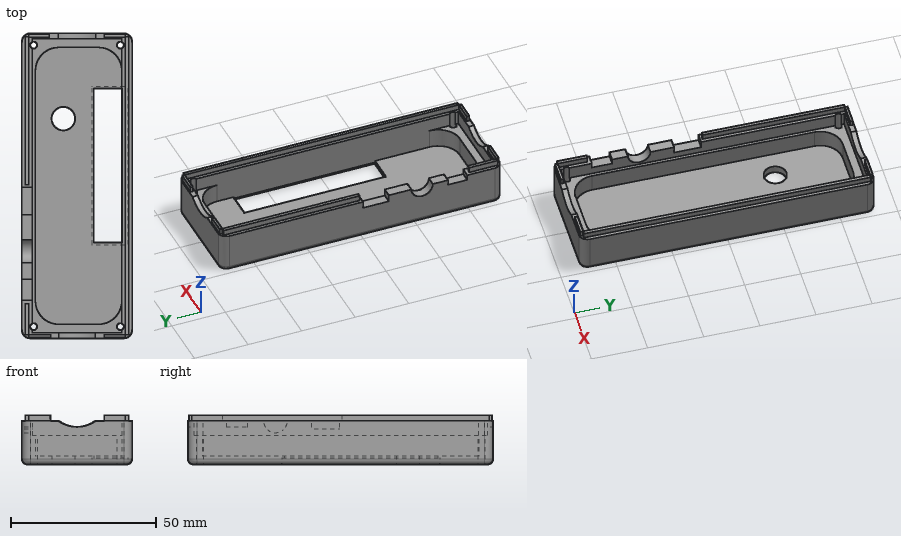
import cadquery as cq

WIDTH = 38.0
LENGTH = 105.0
RIM_Z = 15.0
LIP_HEIGHT = 2.0
CORNER_RADIUS = 3.0
BOTTOM_FILLET = 2.0

SIDE_WALL = 3.6
END_WALL = 2.0
LEDGE_Z = 10.0
FLOOR_Z = 3.0
CAVITY_HALF_X = WIDTH / 2 - SIDE_WALL
CAVITY_HALF_Y = LENGTH / 2 - END_WALL
POCKET_LEFT = -14.3
POCKET_RIGHT = CAVITY_HALF_X
POCKET_LENGTH = 95.2
POCKET_RADIUS = 8.0

SCREW_DIAMETER = 2.3
SCREW_X = 14.9
SCREW_Y = 48.4
ROUND_HOLE_DIAMETER = 8.0
ROUND_HOLE_X = -4.7
ROUND_HOLE_Y = 23.1
WINDOW_LEFT = 5.8
WINDOW_RIGHT = CAVITY_HALF_X
WINDOW_FRONT = -19.4
WINDOW_BACK = 33.4

RECESS_DEPTH = 2.4
RECESS_MARGIN = 0.8
RECESS_RIGHT = 17.5

SIDE_LIP_OUTER = WIDTH / 2 - SIDE_WALL / 3
SIDE_LIP_INNER = WIDTH / 2 - 2 * SIDE_WALL / 3
END_LIP_SETBACK = 0.4
END_LIP_THICKNESS = 0.9
END_LIP_OUTER = LENGTH / 2 - END_LIP_SETBACK
END_LIP_INNER = END_LIP_OUTER - END_LIP_THICKNESS
LIP_OVERLAP = 0.05
LIP_GAP_FRONT = -40.6
LIP_GAP_BACK = 0.4
RIGHT_LIP_START = 9.3
FRONT_LEFT_LIP_START = -8.95
BACK_LEFT_LIP_START = -9.6

DIP_DEPTH = 2.0
FRONT_DIP_HALF_WIDTH = 6.2
BACK_DIP_HALF_WIDTH = 6.5

SQUARE_NOTCHES = [(-10.0, -0.4, 2.6), (-39.3, -32.1, 2.0)]
ROUND_NOTCH_Y = -22.45
ROUND_NOTCH_DIAMETER = 8.0


def block(x_range, y_range, z_range):
    """Box between two X, two Y and two Z values."""
    size = [high - low for low, high in (x_range, y_range, z_range)]
    corner = (x_range[0], y_range[0], z_range[0])
    return cq.Workplane("XY").box(*size, centered=False).translate(corner)


def outer_body():
    body = cq.Workplane("XY").box(WIDTH, LENGTH, RIM_Z, centered=(True, True, False))
    return body.edges("|Z").fillet(CORNER_RADIUS).faces("<Z").edges().fillet(BOTTOM_FILLET)


def cavity():
    """Rectangular cavity down to the ledge."""
    return block(
        (-CAVITY_HALF_X, CAVITY_HALF_X),
        (-CAVITY_HALF_Y, CAVITY_HALF_Y),
        (LEDGE_Z, RIM_Z),
    )


def pocket():
    """Round-cornered pocket from the ledge down to the floor."""
    half_y = POCKET_LENGTH / 2
    shape = block((POCKET_LEFT, POCKET_RIGHT), (-half_y, half_y), (FLOOR_Z, LEDGE_Z))
    return shape.edges("|Z").fillet(POCKET_RADIUS)


def lips():
    z_range = (RIM_Z, RIM_Z + LIP_HEIGHT)
    right_x = (SIDE_LIP_INNER, SIDE_LIP_OUTER)
    left_x = (-SIDE_LIP_OUTER, -SIDE_LIP_INNER)
    strips = block(right_x, (-END_LIP_INNER, END_LIP_INNER), z_range)
    strips = strips.add(block(left_x, (-END_LIP_INNER, LIP_GAP_FRONT), z_range))
    strips = strips.add(block(left_x, (LIP_GAP_BACK, END_LIP_INNER), z_range))

    end_x = SIDE_LIP_INNER + LIP_OVERLAP
    inner_y = END_LIP_INNER - LIP_OVERLAP
    front_y = (-END_LIP_OUTER, -inner_y)
    back_y = (inner_y, END_LIP_OUTER)
    for y_range, left_start in ((front_y, FRONT_LEFT_LIP_START), (back_y, BACK_LEFT_LIP_START)):
        strips = strips.add(block((-end_x, left_start), y_range, z_range))
        strips = strips.add(block((RIGHT_LIP_START, end_x), y_range, z_range))
    return strips.combine()


def finger_dip(half_width, inner_y, outer_y):
    """Shallow arc cut across an end wall, between two Y values."""
    profile = (
        cq.Workplane("XZ")
        .moveTo(-half_width, RIM_Z)
        .threePointArc((0, RIM_Z - DIP_DEPTH), (half_width, RIM_Z))
        .close()
    )
    return profile.extrude(inner_y - outer_y).translate((0, inner_y, 0))


def left_wall_openings():
    x_range = (-WIDTH / 2, -CAVITY_HALF_X)
    cutter = (
        cq.Workplane("YZ")
        .center(ROUND_NOTCH_Y, RIM_Z)
        .circle(ROUND_NOTCH_DIAMETER / 2)
        .extrude(SIDE_WALL)
        .translate((x_range[0], 0, 0))
    )
    for front_y, back_y, depth in SQUARE_NOTCHES:
        cutter = cutter.union(block(x_range, (front_y, back_y), (RIM_Z - depth, RIM_Z)))
    return cutter


def floor_openings():
    window = block((WINDOW_LEFT, WINDOW_RIGHT), (WINDOW_FRONT, WINDOW_BACK), (0, FLOOR_Z))
    recess = block(
        (WINDOW_LEFT - RECESS_MARGIN, RECESS_RIGHT),
        (WINDOW_FRONT - RECESS_MARGIN, WINDOW_BACK + RECESS_MARGIN),
        (0, RECESS_DEPTH),
    )
    round_hole = (
        cq.Workplane("XY")
        .center(ROUND_HOLE_X, ROUND_HOLE_Y)
        .circle(ROUND_HOLE_DIAMETER / 2)
        .extrude(FLOOR_Z)
    )
    screw_holes = (
        cq.Workplane("XY")
        .rect(2 * SCREW_X, 2 * SCREW_Y, forConstruction=True)
        .vertices()
        .circle(SCREW_DIAMETER / 2)
        .extrude(RIM_Z)
    )
    return window.union(recess).union(round_hole).union(screw_holes)


result = (
    outer_body()
    .cut(cavity())
    .cut(pocket())
    .cut(floor_openings())
    .cut(left_wall_openings())
    .cut(finger_dip(FRONT_DIP_HALF_WIDTH, -CAVITY_HALF_Y, -LENGTH / 2))
    .cut(finger_dip(BACK_DIP_HALF_WIDTH, LENGTH / 2, CAVITY_HALF_Y))
    .union(lips())
)